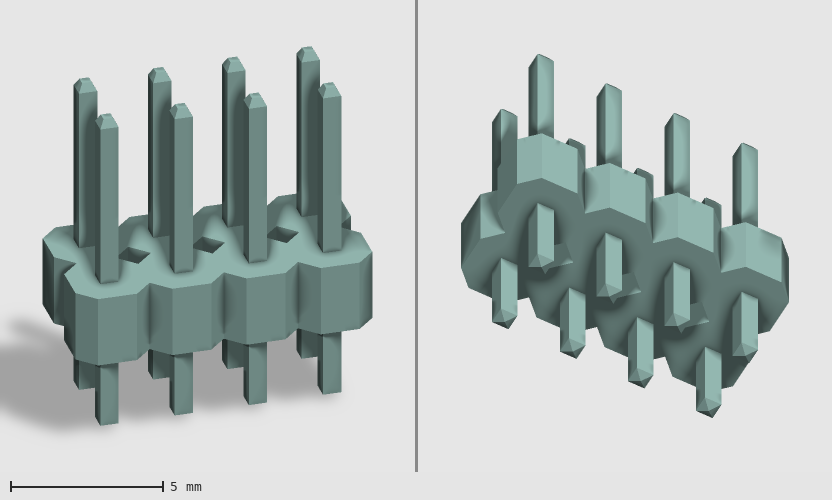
import cadquery as cq

pitch = 2.54
columns = 2
rows = 4

block_height = 2.49
block_corner = 0.6

pin_length = 11.6
pin_width = 0.63
pin_below_block = 3.0

top_taper_height = 0.29
top_tip_width = 0.32
bottom_point_height = 0.17


def make_block():
    """Octagonal insulator block standing on Z = 0."""
    return (
        cq.Workplane("XY")
        .rect(pitch, pitch)
        .extrude(block_height)
        .edges("|Z")
        .chamfer(block_corner)
    )


def make_pin_slab(plane):
    """Pin outline drawn on a vertical plane and extruded to the pin width."""
    bottom = -pin_below_block
    top = bottom + pin_length
    half_width = pin_width / 2
    half_tip = top_tip_width / 2
    return (
        cq.Workplane(plane)
        .moveTo(0, bottom)
        .lineTo(half_width, bottom + bottom_point_height)
        .lineTo(half_width, top - top_taper_height)
        .lineTo(half_tip, top)
        .lineTo(-half_tip, top)
        .lineTo(-half_width, top - top_taper_height)
        .lineTo(-half_width, bottom + bottom_point_height)
        .close()
        .extrude(half_width, both=True)
    )


def make_pin():
    """Square pin through the block: tapered flat tip on top, pyramid point below."""
    return make_pin_slab("XZ").intersect(make_pin_slab("YZ"))


def make_header_unit(x, y):
    """One header position: block and pin as a single solid, centred on (x, y)."""
    return make_block().union(make_pin()).translate((x, y, 0))


header_units = []
for column in range(columns):
    for row in range(rows):
        unit_x = (column - (columns - 1) / 2) * pitch
        unit_y = (row - (rows - 1) / 2) * pitch
        header_units.append(make_header_unit(unit_x, unit_y).val())

result = cq.Compound.makeCompound(header_units)